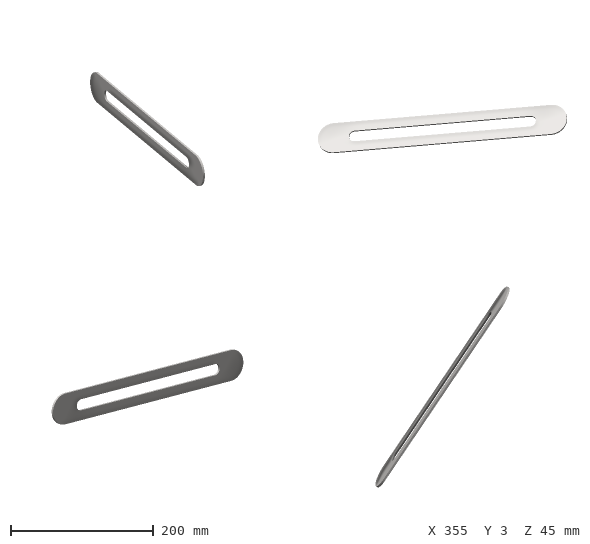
import cadquery as cq

length = 355.0
height = 45.0
thickness = 3.0
slot_length = 266.5
slot_height = 16.5

plate = (
    cq.Workplane("XZ")
    .slot2D(length, height)
    .extrude(thickness / 2, both=True)
)

slot = (
    cq.Workplane("XZ")
    .slot2D(slot_length, slot_height)
    .extrude(thickness, both=True)
)

result = plate.cut(slot)